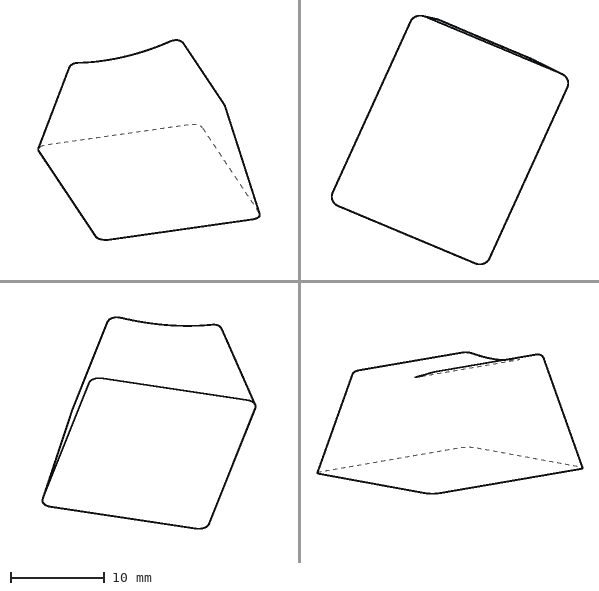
import cadquery as cq

width = 23.05
depth = 18.3
draft_angle = 13.9
corner_radius = 1.2
rim_radius = 0.6

dish_radius = 20.52
dish_low_y = -2.45
dish_low_z = 10.77

blank_height = 15.0


def drafted_block():
    """Block whose four walls lean inward, with rounded upright corners."""
    block = cq.Workplane("XY").rect(width, depth).extrude(blank_height, taper=draft_angle)
    return block.edges("not (|X or |Y)").fillet(corner_radius)


def dish_cylinder():
    """Cylinder along X whose underside forms the finger dish."""
    return (
        cq.Workplane("YZ")
        .center(dish_low_y, dish_low_z + dish_radius)
        .circle(dish_radius)
        .extrude(width / 2, both=True)
    )


dished_block = drafted_block().cut(dish_cylinder())

result = dished_block.faces(">Z").edges().fillet(rim_radius)